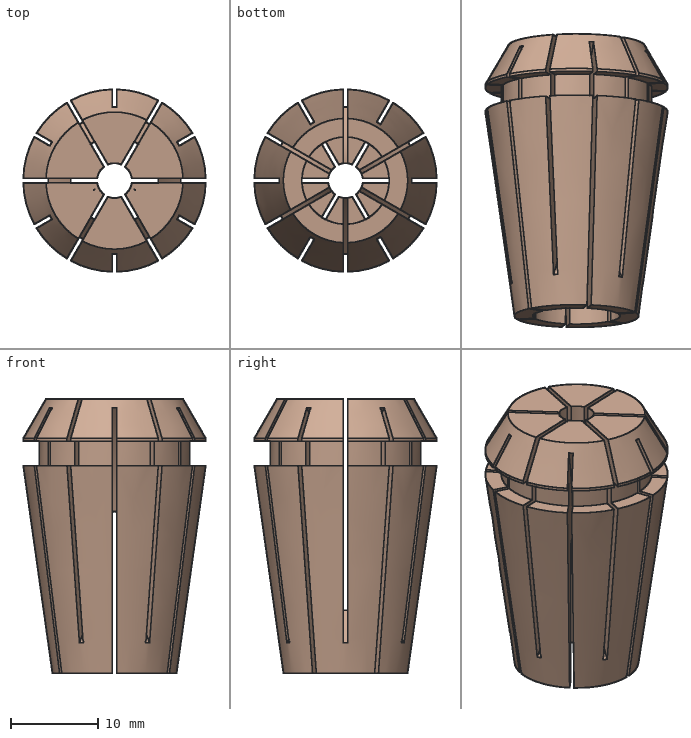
import cadquery as cq
import math

length = 31.5
max_radius = 10.5

lip_height = 0.3
nose_half_angle = 30.0
nose_height = 4.85
groove_width = 2.8
groove_radius = 8.65
body_half_angle = 8.0

bore_radius = 2.0
relief_radius = 5.0
clamp_length = 14.18

slots_per_end = 6
slot_pitch = 360.0 / slots_per_end
slot_width = 0.5
saw_radius = 25.2
back_wall = 3.5
nose_wall = 1.0
nose_slot_root = 1.7
back_slot_root = 1.35
overrun = 1.58

nose_base_z = length - nose_height
lip_top_z = nose_base_z + lip_height
body_top_z = nose_base_z - groove_width
nose_slope = math.tan(math.radians(nose_half_angle))
body_slope = math.tan(math.radians(body_half_angle))


def nose_radius(z):
    """Outer radius of the nose cone at height z."""
    return max_radius - (z - lip_top_z) * nose_slope


def body_radius(z):
    """Outer radius of the clamping cone at height z."""
    return max_radius - (body_top_z - z) * body_slope


def collet_body():
    """Turned collet: outer profile with groove, bored in two steps."""
    step_z = length - clamp_length
    profile = [
        (relief_radius, 0),
        (body_radius(0), 0),
        (max_radius, body_top_z),
        (groove_radius, body_top_z),
        (groove_radius, nose_base_z),
        (max_radius, nose_base_z),
        (max_radius, lip_top_z),
        (nose_radius(length), length),
        (bore_radius, length),
        (bore_radius, step_z),
        (relief_radius, step_z),
    ]
    return cq.Workplane("XZ").polyline(profile).close().revolve(360, (0, 0), (0, 1))


def saw_slot(outer_r, outer_z, root_r, open_end_z):
    """Slot along +X, open at open_end_z, whose floor is a saw arc.

    The arc is upright at root_r and leaves the outer surface at (outer_r, outer_z).
    """
    toward_open = math.copysign(1, open_end_z - outer_z)
    center_r = root_r + saw_radius
    center_z = outer_z + toward_open * math.sqrt(saw_radius**2 - (center_r - outer_r) ** 2)
    diagonal = saw_radius / math.sqrt(2)
    mid = (center_r - diagonal, center_z - toward_open * diagonal)
    end_z = open_end_z + toward_open * overrun
    return (
        cq.Workplane("XZ", origin=(0, slot_width / 2, 0))
        .moveTo(root_r, end_z)
        .lineTo(root_r, center_z)
        .threePointArc(mid, (center_r, center_z - toward_open * saw_radius))
        .lineTo(center_r, end_z)
        .close()
        .extrude(slot_width)
    )


nose_slot = saw_slot(body_radius(back_wall), back_wall, nose_slot_root, length)
back_slot_z = length - nose_wall
back_slot = saw_slot(nose_radius(back_slot_z), back_slot_z, back_slot_root, 0.0)

result = collet_body()
for index in range(slots_per_end):
    nose_angle = index * slot_pitch
    back_angle = nose_angle + slot_pitch / 2
    result = result.cut(nose_slot.rotate((0, 0, 0), (0, 0, 1), nose_angle))
    result = result.cut(back_slot.rotate((0, 0, 0), (0, 0, 1), back_angle))